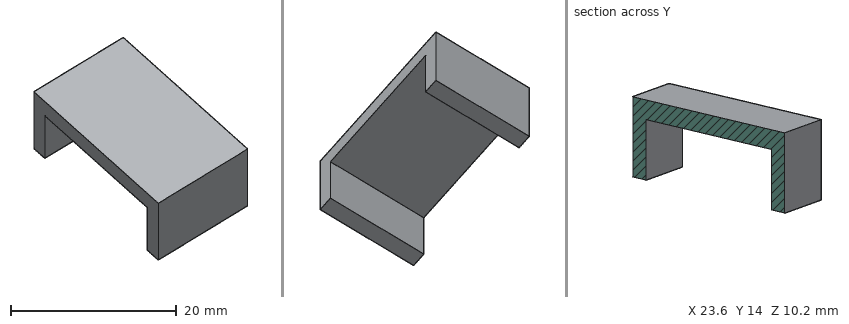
import cadquery as cq

length = 23.62
width = 13.97
height = 10.16

leg_thickness = 2.1
top_thickness = 2.54


def make_block():
    """Solid block, centred in X and Y, standing on Z = 0."""
    return cq.Workplane("XY").box(length, width, height, centered=(True, True, False))


def make_channel():
    """Open space between the legs, running the full width along Y."""
    channel_length = length - 2 * leg_thickness
    channel_height = height - top_thickness
    return cq.Workplane("XY").box(channel_length, width, channel_height, centered=(True, True, False))


result = make_block().cut(make_channel())